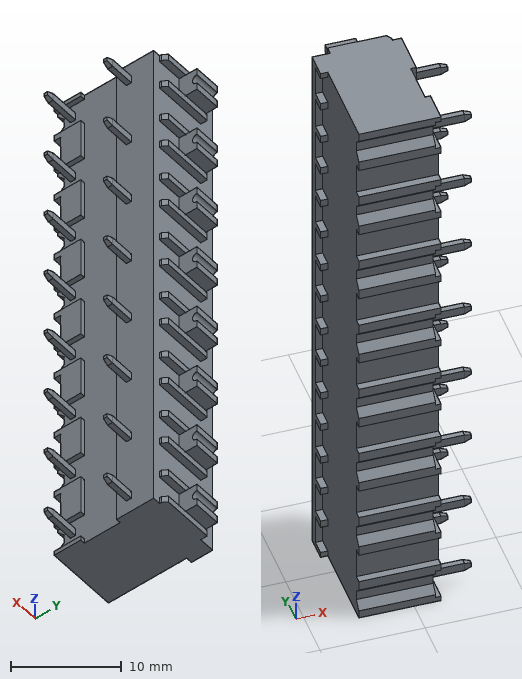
import cadquery as cq

pole_count = 8
length = 57.55
end_margin = 2.1
pitch = (length - 2 * end_margin) / (pole_count - 1)
pole_heights = [end_margin + i * pitch for i in range(pole_count)]

overall_x = 11.9
hook_face_x = -overall_x / 2
body_left_x = hook_face_x + 0.7
body_right_x = hook_face_x + 8.5
pin_tip_x = hook_face_x + overall_x

overall_y = 13.65
front_y = -overall_y / 2
back_y = front_y + 11.55
key_back_y = front_y + overall_y

rib_width = 4.5
front_groove_depth = 0.75
vee_mouth_width = 2.5
vee_floor_width = vee_mouth_width - 2 * front_groove_depth

relief_depth = 0.5
relief_front_y = front_y + 3.1
relief_back_y = front_y + 7.25
slot_width = 3.1

hook_depth = 1.0
tooth_depth = 2.5
tooth_gap = 3.0

rail_left_x = hook_face_x + 1.7
rail_right_x = hook_face_x + 7.65
rail_height = 0.75
rail_outer_width = 2 * end_margin
rail_chamfer_x = 0.35
rail_chamfer_y = 0.5
key_left_x = hook_face_x + 1.9
key_length = 2.95
key_width = 2.65
key_groove_radius = 0.5

pin_depth = 0.6
pin_width = 0.85
pin_tip_depth = 0.4
pin_tip_width = 0.4
pin_taper_length = 0.7
pin_rows_y = [front_y + 1.8, front_y + 8.7]


def box(x_range, y_range, z_range):
    """Axis-aligned block between the given limits."""
    size = [high - low for low, high in (x_range, y_range, z_range)]
    corner = (x_range[0], y_range[0], z_range[0])
    return cq.Workplane("XY").box(*size, centered=False).translate(corner)


def centred(z, width):
    return (z - width / 2, z + width / 2)


def within_length(z, width):
    """Z limits of a feature centred on z, cut off at the end faces."""
    low, high = centred(z, width)
    return (max(low, 0), min(high, length))


def housing():
    block = box((body_left_x, body_right_x), (front_y, back_y), (0, length))
    relief = box((body_right_x - relief_depth, body_right_x), (relief_front_y, relief_back_y), (0, length))
    strip = box((hook_face_x, body_left_x), (back_y - hook_depth, back_y), (0, length))
    return block.cut(relief).union(strip)


def rib_gap(z):
    """Rectangular groove across the front face, between two ribs."""
    gap_width = pitch - rib_width
    return box((body_left_x, body_right_x), (front_y, front_y + front_groove_depth), centred(z, gap_width))


def vee_groove(z):
    """Flat-bottomed V groove along the middle of a rib."""
    floor_y = front_y + front_groove_depth
    return (
        cq.Workplane("YZ", origin=(body_left_x, 0, z))
        .moveTo(front_y, -vee_mouth_width / 2)
        .lineTo(floor_y, -vee_floor_width / 2)
        .lineTo(floor_y, vee_floor_width / 2)
        .lineTo(front_y, vee_mouth_width / 2)
        .close()
        .extrude(body_right_x - body_left_x)
    )


def pin_slot(z):
    """Slot in the pin face, open to the front and to the relief."""
    return box((body_right_x - relief_depth, body_right_x), (front_y, relief_front_y), centred(z, slot_width))


def hook_teeth(z):
    """Two teeth in front of the hook strip, flush with the edges of the rib."""
    y_range = (back_y - tooth_depth, back_y - hook_depth)
    teeth = box((hook_face_x, body_left_x), y_range, within_length(z, rib_width))
    gap = box((hook_face_x, body_left_x), y_range, centred(z, tooth_gap))
    return teeth.cut(gap)


def rails(z):
    """Two rails on the back face, on either side of the key."""
    rail_back_y = back_y + rail_height
    platform = (
        cq.Workplane("XY", origin=(0, 0, z - rail_outer_width / 2))
        .moveTo(rail_left_x, back_y)
        .lineTo(rail_right_x, back_y)
        .lineTo(rail_right_x, rail_back_y - rail_chamfer_y)
        .lineTo(rail_right_x - rail_chamfer_x, rail_back_y)
        .lineTo(rail_left_x, rail_back_y)
        .close()
        .extrude(rail_outer_width)
    )
    channel = box((rail_left_x, rail_right_x), (back_y, rail_back_y), centred(z, key_width))
    return platform.cut(channel)


def key(z):
    """Block on the back face with a round groove along X."""
    block = box((key_left_x, key_left_x + key_length), (back_y, key_back_y), centred(z, key_width))
    groove = (
        cq.Workplane("YZ", origin=(key_left_x, key_back_y, z))
        .circle(key_groove_radius)
        .extrude(key_length)
    )
    return block.cut(groove)


def pin(y, z):
    """Flat pin with a tapered tip, rooted in the floor of the relief."""
    root_x = body_right_x - relief_depth
    taper_x = pin_tip_x - pin_taper_length
    shank = box((root_x, taper_x), centred(y, pin_depth), centred(z, pin_width))
    tip = (
        cq.Workplane("YZ", origin=(taper_x, y, z))
        .rect(pin_depth, pin_width)
        .workplane(offset=pin_taper_length)
        .rect(pin_tip_depth, pin_tip_width)
        .loft()
    )
    return shank.union(tip)


result = housing()
for lower_z, upper_z in zip(pole_heights, pole_heights[1:]):
    result = result.cut(rib_gap((lower_z + upper_z) / 2))
for pole_z in pole_heights:
    result = result.cut(vee_groove(pole_z)).cut(pin_slot(pole_z))
    result = result.union(hook_teeth(pole_z)).union(rails(pole_z)).union(key(pole_z))
    for row_y in pin_rows_y:
        result = result.union(pin(row_y, pole_z))

result = result.translate((0, 0, -length / 2))